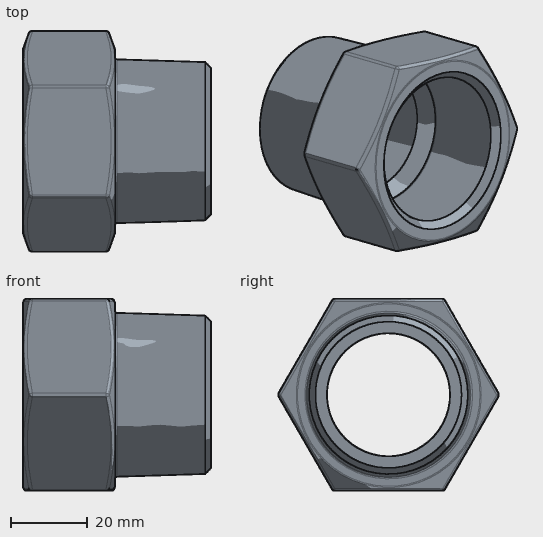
import cadquery as cq
import math

across_corners = 57.45
total_length = 49.0
hex_length = 24.0

edge_radius = 1.0
corner_trim = edge_radius * (1 / math.cos(math.radians(30)) - 1)
sharp_across_corners = across_corners + 2 * corner_trim
hex_face_radius = 23.9
hex_bevel_angle = math.radians(20)

radius_taper = 1 / 32

spigot_tip_radius = 20.6
spigot_chamfer = 1.6
root_fillet = 0.45
spigot_taper_end = total_length - spigot_chamfer
search_margin = 0.3

socket_radius = 19.05
socket_chamfer = 1.85
socket_depth = 21.95
relief_length = 0.3
bore_radius = 15.95
funnel_half_angle = math.radians(30)


def revolve_about_x(points):
    """Revolve a profile of (x, radius) points about the X axis."""
    return cq.Workplane("XY").polyline(points).close().revolve(360, (0, 0, 0), (1, 0, 0))


def make_hexagon():
    """Hexagon with corners on +Y and -Y, both ends bevelled and all edges rounded."""
    prism = cq.Workplane("YZ").polygon(6, sharp_across_corners).extrude(hex_length)
    prism = prism.edges("|X").fillet(edge_radius)
    ridge_radius = hex_face_radius + (hex_length / 2) / math.tan(hex_bevel_angle)
    envelope = revolve_about_x([
        (0, 0),
        (0, hex_face_radius),
        (hex_length / 2, ridge_radius),
        (hex_length, hex_face_radius),
        (hex_length, 0),
    ])
    return prism.intersect(envelope).edges("not #X").fillet(edge_radius)


def spigot_radius_at(x):
    """Radius of the tapered spigot surface at a place along the axis."""
    return spigot_tip_radius + (spigot_taper_end - x) * radius_taper


def make_spigot():
    """Tapered spigot with a chamfered tip, starting inside the hexagon."""
    start = hex_length / 2
    return revolve_about_x([
        (start, 0),
        (start, spigot_radius_at(start)),
        (spigot_taper_end, spigot_tip_radius),
        (total_length, spigot_tip_radius - spigot_chamfer),
        (total_length, 0),
    ])


def make_bore():
    """Chamfered tapered socket, a short straight relief, then a funnel into the straight bore."""
    socket_end_radius = socket_radius - (socket_depth - socket_chamfer) * radius_taper
    relief_end = socket_depth + relief_length
    funnel_end = relief_end + (socket_end_radius - bore_radius) / math.tan(funnel_half_angle)
    return revolve_about_x([
        (0, 0),
        (0, socket_radius + socket_chamfer),
        (socket_chamfer, socket_radius),
        (socket_depth, socket_end_radius),
        (relief_end, socket_end_radius),
        (funnel_end, bore_radius),
        (total_length, bore_radius),
        (total_length, 0),
    ])


def round_root(body):
    """Fillet the inside corner where the spigot leaves the hexagon face."""
    reach = spigot_radius_at(hex_length) + search_margin
    root = cq.selectors.BoxSelector(
        (hex_length - search_margin, -reach, -reach),
        (hex_length + search_margin, reach, reach),
        boundingbox=True,
    )
    return body.edges(root).fillet(root_fillet)


solid_body = round_root(make_hexagon().union(make_spigot()))
result = solid_body.cut(make_bore())